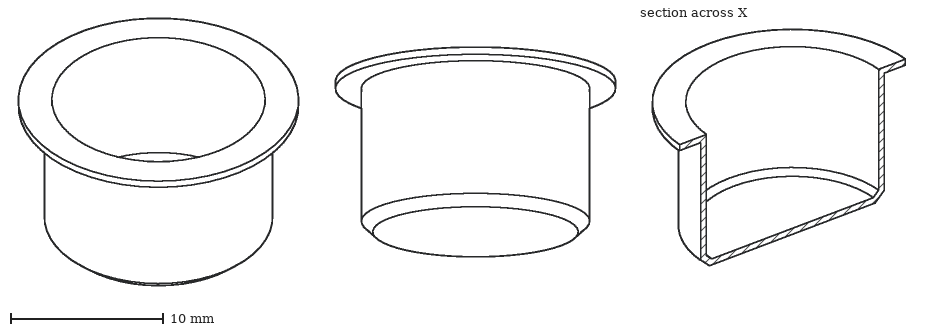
import cadquery as cq

flange_diameter = 18.4
body_diameter = 15.0
total_height = 10.2
wall = 0.5
outer_chamfer_width = 0.75
outer_chamfer_height = 0.72
inner_chamfer = 0.42

flange_radius = flange_diameter / 2
body_radius = body_diameter / 2
bore_radius = body_radius - wall

half_section = (
    cq.Workplane("XZ")
    .moveTo(0, 0)
    .lineTo(body_radius - outer_chamfer_width, 0)
    .lineTo(body_radius, outer_chamfer_height)
    .lineTo(body_radius, total_height - wall)
    .lineTo(flange_radius, total_height - wall)
    .lineTo(flange_radius, total_height)
    .lineTo(bore_radius, total_height)
    .lineTo(bore_radius, wall + inner_chamfer)
    .lineTo(bore_radius - inner_chamfer, wall)
    .lineTo(0, wall)
    .close()
)

result = half_section.revolve(360, (0, 0, 0), (0, 1, 0))